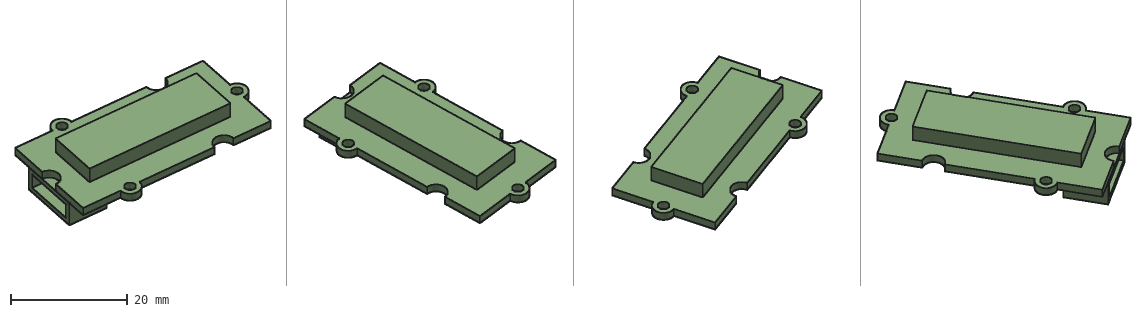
import cadquery as cq

board_width = 20.0
board_length = 40.0
board_thickness = 1.6

overall_length = 42.0
ear_radius = overall_length - board_length
ear_hole_diameter = 2.0
notch_radius = ear_radius
side_offset = board_length / 4

overall_height = 9.6
connector_height = 5.0
display_width = board_width / 2
display_length = 30.0
display_height = overall_height - board_thickness - connector_height

connector_width = 11.95
connector_length = 8.0
connector_wall = 1.0
socket_depth = 7.0

half_width = board_width / 2
half_length = board_length / 2
ear_centers = [(0, half_length), (-half_width, -side_offset), (half_width, -side_offset)]
notch_centers = [(0, -half_length), (-half_width, side_offset), (half_width, side_offset)]


def board_cylinders(centers, radius):
    """Upright cylinders as thick as the board, one at each centre."""
    return cq.Workplane("XY").pushPoints(centers).circle(radius).extrude(board_thickness)


def make_board():
    """Plate with three drilled ears and three half-round edge notches."""
    plate = cq.Workplane("XY").rect(board_width, board_length).extrude(board_thickness)
    plate = plate.union(board_cylinders(ear_centers, ear_radius))
    plate = plate.cut(board_cylinders(ear_centers, ear_hole_diameter / 2))
    return plate.cut(board_cylinders(notch_centers, notch_radius))


def make_display():
    """Plain block standing on the middle of the board."""
    return (
        cq.Workplane("XY", origin=(0, 0, board_thickness))
        .rect(display_width, display_length)
        .extrude(display_height)
    )


def make_connector():
    """Block hanging below the board, flush with its front edge, with a blind socket facing -Y."""
    block = cq.Workplane("XY").box(
        connector_width, connector_length, connector_height, centered=(True, False, False)
    )
    socket = (
        cq.Workplane("XY")
        .box(
            connector_width - 2 * connector_wall,
            socket_depth,
            connector_height - 2 * connector_wall,
            centered=(True, False, False),
        )
        .translate((0, 0, connector_wall))
    )
    return block.cut(socket).translate((0, -half_length, -connector_height))


board = make_board()
display = make_display()
connector = make_connector()

result = cq.Compound.makeCompound([board.val(), display.val(), connector.val()])